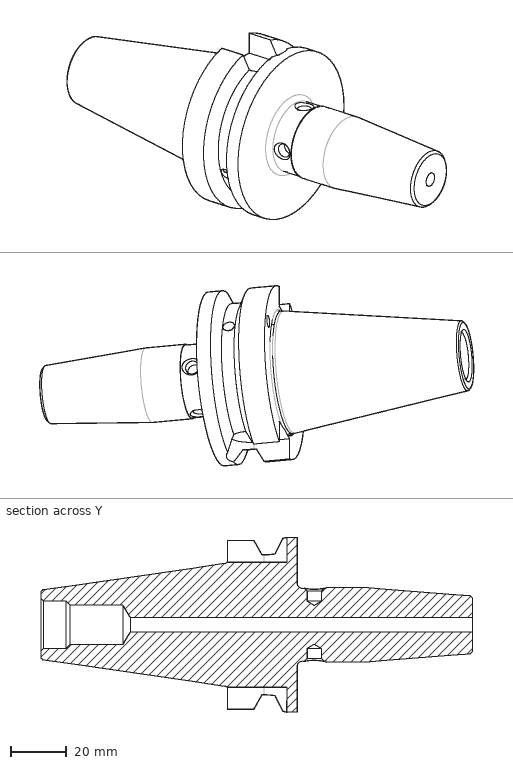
import cadquery as cq
import math

total_length = 155.4

taper_length = 65.5
gauge_diameter = 44.3
taper_ratio = 7 / 24
tail_chamfer = 0.6

flange_start = 67.1
flange_end = 92.3
flange_diameter = 63.0
collar_fillet = 0.8
groove_center = 81.9
groove_floor_width = 4.7
groove_floor_diameter = 53.0
groove_half_angle = 30.0

neck_diameter = 26.4
neck_end = 102.5
neck_fillet = 1.9
body_diameter = 27.0
body_end = 117.2
nose_tip_diameter = 21.1
nose_chamfer = 1.0

bore_mouth_diameter = 19.0
pilot_diameter = 17.0
pilot_depth = 9.0
thread_diameter = 14.0
thread_depth = 29.5
coolant_diameter = 5.0
drill_point_angle = 118.0

slot_width = 16.2
slot_floor_radius = 22.5
slot_length = 21.3

coolant_hole_diameter = 4.2
coolant_entry_radius = 27.2
coolant_slope = 18.0
coolant_channel_angle = -69.7

screw_hole_x = 98.4
screw_hole_count = 4
screw_hole_diameter = 5.0
screw_mouth_diameter = 7.1
screw_hole_depth = 4.7


def point_height(diameter):
    """Height of the cone left by a drill of this diameter."""
    return diameter / 2 / math.tan(math.radians(drill_point_angle / 2))


def blind_hole(diameter, depth, mouth_diameter=0.0):
    """Cutter along +Z from Z = 0 with a drill point; a mouth adds a 45 degree countersink."""
    radius = diameter / 2
    hole = cq.Workplane("XY").circle(radius).extrude(depth)
    point = cq.Solid.makeCone(radius, 0, point_height(diameter), cq.Vector(0, 0, depth))
    hole = hole.union(cq.Workplane(point))
    if mouth_diameter > diameter:
        mouth_radius = mouth_diameter / 2
        mouth = cq.Solid.makeCone(mouth_radius, radius, mouth_radius - radius)
        hole = hole.union(cq.Workplane(mouth))
    return hole


def make_body():
    flange_radius = flange_diameter / 2
    floor_radius = groove_floor_diameter / 2
    floor_half = groove_floor_width / 2
    rim_half = floor_half + (flange_radius - floor_radius) * math.tan(math.radians(groove_half_angle))
    gauge_radius = gauge_diameter / 2
    tail_radius = gauge_radius - (taper_length - tail_chamfer) * taper_ratio / 2
    neck_radius = neck_diameter / 2
    tip_radius = nose_tip_diameter / 2
    return (
        cq.Workplane("XY")
        .lineTo(0, tail_radius - tail_chamfer)
        .lineTo(tail_chamfer, tail_radius)
        .lineTo(taper_length, gauge_radius)
        .lineTo(flange_start - collar_fillet, gauge_radius)
        .radiusArc((flange_start, gauge_radius + collar_fillet), -collar_fillet)
        .lineTo(flange_start, flange_radius)
        .lineTo(groove_center - rim_half, flange_radius)
        .lineTo(groove_center - floor_half, floor_radius)
        .lineTo(groove_center + floor_half, floor_radius)
        .lineTo(groove_center + rim_half, flange_radius)
        .lineTo(flange_end, flange_radius)
        .lineTo(flange_end, neck_radius + neck_fillet)
        .radiusArc((flange_end + neck_fillet, neck_radius), -neck_fillet)
        .lineTo(neck_end, neck_radius)
        .lineTo(neck_end, body_diameter / 2)
        .lineTo(body_end, body_diameter / 2)
        .lineTo(total_length - nose_chamfer, tip_radius)
        .lineTo(total_length, tip_radius - nose_chamfer)
        .lineTo(total_length, 0)
        .close()
        .revolve(360, (0, 0, 0), (1, 0, 0))
    )


def make_bore():
    mouth_radius = bore_mouth_diameter / 2
    pilot_radius = pilot_diameter / 2
    thread_radius = thread_diameter / 2
    coolant_radius = coolant_diameter / 2
    cone_length = point_height(thread_diameter) - point_height(coolant_diameter)
    return (
        cq.Workplane("XY")
        .lineTo(0, mouth_radius)
        .lineTo(mouth_radius - pilot_radius, pilot_radius)
        .lineTo(pilot_depth, pilot_radius)
        .lineTo(pilot_depth + pilot_radius - thread_radius, thread_radius)
        .lineTo(thread_depth, thread_radius)
        .lineTo(thread_depth + cone_length, coolant_radius)
        .lineTo(total_length, coolant_radius)
        .lineTo(total_length, 0)
        .close()
        .revolve(360, (0, 0, 0), (1, 0, 0))
    )


def make_drive_slot():
    """Round-ended slot in the +Z side of the flange, open toward the taper."""
    half_width = slot_width / 2
    straight_length = slot_length - half_width
    return (
        cq.Workplane("XY", origin=(flange_start, 0, slot_floor_radius))
        .moveTo(-collar_fillet, -half_width)
        .lineTo(straight_length, -half_width)
        .threePointArc((slot_length, 0), (straight_length, half_width))
        .lineTo(-collar_fillet, half_width)
        .close()
        .extrude(flange_diameter / 2)
    )


def make_coolant_channel():
    """Sloping hole from the flange face and the groove hole it meets, both in the XZ plane."""
    slope = math.radians(coolant_slope)
    run = groove_center - flange_start
    groove_floor_radius = groove_floor_diameter / 2
    meeting_radius = coolant_entry_radius - run * math.tan(slope)
    entry = cq.Vector(flange_start, 0, coolant_entry_radius)
    direction = cq.Vector(math.cos(slope), 0, -math.sin(slope))
    lead_in = coolant_hole_diameter
    sloping_hole = cq.Solid.makeCylinder(
        coolant_hole_diameter / 2,
        run / math.cos(slope) + lead_in,
        entry - direction * lead_in,
        direction,
    )
    groove_hole = (
        blind_hole(coolant_hole_diameter, groove_floor_radius - meeting_radius)
        .rotate((0, 0, 0), (1, 0, 0), 180)
        .translate((groove_center, 0, groove_floor_radius))
    )
    return groove_hole.union(cq.Workplane(sloping_hole))


def make_screw_hole():
    """Countersunk blind hole in the +Z side of the neck."""
    return (
        blind_hole(screw_hole_diameter, screw_hole_depth, screw_mouth_diameter)
        .rotate((0, 0, 0), (1, 0, 0), 180)
        .translate((screw_hole_x, 0, neck_diameter / 2))
    )


def turn(shape, angle):
    """Turn a shape about the axis of the holder."""
    return shape.rotate((0, 0, 0), (1, 0, 0), angle)


result = make_body().cut(make_bore())

for side_angle in (0, 180):
    result = result.cut(turn(make_drive_slot(), side_angle))
    result = result.cut(turn(make_coolant_channel(), coolant_channel_angle + side_angle))

for index in range(screw_hole_count):
    result = result.cut(turn(make_screw_hole(), index * 360 / screw_hole_count))